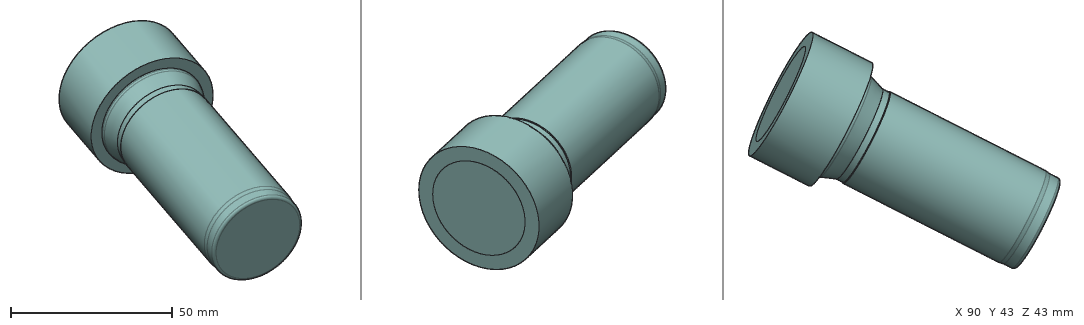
import cadquery as cq
import math

HEAD_DIAMETER = 43.0
HEAD_LENGTH = 21.0

TOTAL_LENGTH = 90.0
ROOT_DIAMETER = 33.0
SHOULDER_DIAMETER = 35.5
NECK_DIAMETER = 31.5
SHAFT_DIAMETER = 32.0
PILOT_DIAMETER = NECK_DIAMETER

CONE_ANGLE = math.radians(20.0)
CONE_BLEND_RADIUS = 2.5
CONE_END = 27.5
SHAFT_START = 30.0
PILOT_LENGTH = 4.0
PILOT_TAPER_ANGLE = math.radians(10.0)
END_ROUND_RADIUS = 1.0


def make_head_ring():
    """Collar with a through bore that matches the pin root."""
    return (
        cq.Workplane("YZ")
        .circle(HEAD_DIAMETER / 2)
        .circle(ROOT_DIAMETER / 2)
        .extrude(HEAD_LENGTH)
    )


def make_pin():
    """Revolve the half profile (X along the axis, Y as radius) about the X axis."""
    root_radius = ROOT_DIAMETER / 2
    shoulder_radius = SHOULDER_DIAMETER / 2
    neck_radius = NECK_DIAMETER / 2
    shaft_radius = SHAFT_DIAMETER / 2
    pilot_radius = PILOT_DIAMETER / 2

    cone_corner = CONE_END - (shoulder_radius - neck_radius) / math.tan(CONE_ANGLE)
    blend_start = cone_corner - CONE_BLEND_RADIUS * math.tan(CONE_ANGLE / 2)
    blend_center_radius = shoulder_radius - CONE_BLEND_RADIUS

    def blend_point(angle):
        return (
            blend_start + CONE_BLEND_RADIUS * math.sin(angle),
            blend_center_radius + CONE_BLEND_RADIUS * math.cos(angle),
        )

    neck_end = SHAFT_START - (shaft_radius - neck_radius)
    pilot_start = TOTAL_LENGTH - PILOT_LENGTH
    shaft_end = pilot_start - (shaft_radius - pilot_radius) / math.tan(PILOT_TAPER_ANGLE)

    round_start = TOTAL_LENGTH - END_ROUND_RADIUS
    end_face_radius = pilot_radius - END_ROUND_RADIUS
    round_offset = END_ROUND_RADIUS * math.cos(math.pi / 4)
    round_middle = (round_start + round_offset, end_face_radius + round_offset)

    profile = (
        cq.Workplane("XY")
        .moveTo(0, 0)
        .lineTo(0, root_radius)
        .lineTo(HEAD_LENGTH, root_radius)
        .lineTo(HEAD_LENGTH, shoulder_radius)
        .lineTo(blend_start, shoulder_radius)
        .threePointArc(blend_point(CONE_ANGLE / 2), blend_point(CONE_ANGLE))
        .lineTo(CONE_END, neck_radius)
        .lineTo(neck_end, neck_radius)
        .lineTo(SHAFT_START, shaft_radius)
        .lineTo(shaft_end, shaft_radius)
        .lineTo(pilot_start, pilot_radius)
        .lineTo(round_start, pilot_radius)
        .threePointArc(round_middle, (TOTAL_LENGTH, end_face_radius))
        .lineTo(TOTAL_LENGTH, 0)
        .close()
    )
    return profile.revolve(360, (0, 0, 0), (1, 0, 0))


head_ring = make_head_ring()
pin = make_pin()

result = cq.Compound.makeCompound([head_ring.val(), pin.val()])